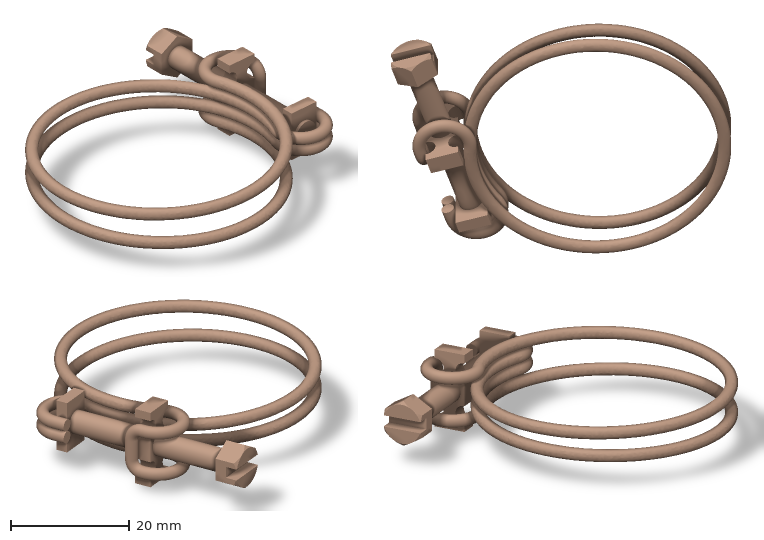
import cadquery as cq
import math


WIRE_RADIUS = 1.1
RING_RADIUS = 21.55
HOOK_RADIUS = 4.35
SEAM_ANGLE = 70.0
INNER_GAP = 0.05
INNER_Z = WIRE_RADIUS + INNER_GAP / 2
OUTER_Z = 3.9
RIGHT_TAIL = 2.35
LEFT_TAIL = 0.6
BEND_RADIUS = 2.0
LEAD_IN_ANGLE = 1.6
FOOT_GAP_ANGLE = 0.01
RING_SWEEP = 360 + 180 - 2 * SEAM_ANGLE - LEAD_IN_ANGLE - FOOT_GAP_ANGLE

HOOK_CENTRE_X = (RING_RADIUS + HOOK_RADIUS) * math.cos(math.radians(SEAM_ANGLE))
HOOK_CENTRE_Y = (RING_RADIUS + HOOK_RADIUS) * math.sin(math.radians(SEAM_ANGLE))
HOOK_TOP_Y = HOOK_CENTRE_Y + HOOK_RADIUS

BAR_WIDTH = 5.7
HOOK_CLEARANCE = 0.05
BAR_FAR_X = 9.3
LEFT_BAR_THICKNESS = 3.05
LEFT_BAR_HEIGHT = 14.0
NOTCH_RADIUS = 1.55
NOTCH_DEPTH = 1.75
RIGHT_BAR_THICKNESS = 2.15
RIGHT_BAR_HEIGHT = 9.25

SCREW_Y = HOOK_TOP_Y - WIRE_RADIUS - HOOK_CLEARANCE - BAR_WIDTH / 2
SHANK_RADIUS = 2.1
SCREW_END_X = 9.9
HEAD_FACE_X = -26.75
HEAD_LENGTH = 4.15
HEAD_FLATS = 7.05
SLOT_WIDTH = 2.05
SLOT_DEPTH = 2.1
HEAD_CORNER_RADIUS = HEAD_FLATS / 2 / math.cos(math.radians(30))


def ring_point(angle, z):
    """Point on the ring centre line at an angle in degrees from +X."""
    a = math.radians(angle)
    return cq.Vector(RING_RADIUS * math.cos(a), RING_RADIUS * math.sin(a), z)


def ring_direction(angle):
    """Level anticlockwise direction of the ring at an angle in degrees from +X."""
    a = math.radians(angle)
    return cq.Vector(-math.sin(a), math.cos(a), 0)


def hook_arc(side, z):
    """Hook centre line from its straight end to the ring; side is 1 right, -1 left."""
    return cq.Edge.makeThreePointArc(
        cq.Vector(side * HOOK_CENTRE_X, HOOK_TOP_Y, z),
        cq.Vector(side * (HOOK_CENTRE_X + HOOK_RADIUS), HOOK_CENTRE_Y, z),
        ring_point(SEAM_ANGLE if side > 0 else 180 - SEAM_ANGLE, z),
    )


def sweep_wire(edges, start, direction):
    """Round wire along joined centre line edges."""
    path = cq.Wire.assembleEdges(edges)
    section = cq.Workplane(cq.Plane(origin=start.toTuple(), normal=direction)).circle(WIRE_RADIUS)
    return section.sweep(cq.Workplane(path), transition="transformed")


def ring_wire():
    """Right hook and the ring that rises from it, more than one turn, to the left hook."""
    hook_start = cq.Vector(HOOK_CENTRE_X, HOOK_TOP_Y, INNER_Z)
    tail_end = hook_start - cq.Vector(RIGHT_TAIL, 0, 0)
    tail = cq.Edge.makeLine(tail_end, hook_start)

    rise = OUTER_Z - INNER_Z
    ring = (
        cq.Wire.makeHelix(rise * 360 / RING_SWEEP, rise, RING_RADIUS)
        .rotate(cq.Vector(0, 0, 0), cq.Vector(0, 0, 1), SEAM_ANGLE)
        .translate(cq.Vector(0, 0, INNER_Z))
    )
    return sweep_wire([tail, hook_arc(1, INNER_Z), *ring.Edges()], tail_end, (1, 0, 0))


def bridge_wire():
    """Both left hooks, joined by bends and a straight bridge across the screw."""
    bend_x = LEFT_TAIL - HOOK_CENTRE_X
    bridge_x = bend_x + BEND_RADIUS
    bridge_half = OUTER_Z - BEND_RADIUS
    bend_offset = BEND_RADIUS * math.sin(math.radians(45))
    foot_angle = 180 - SEAM_ANGLE
    start_angle = foot_angle - LEAD_IN_ANGLE

    def half_path(side):
        z = side * OUTER_Z
        lead_in = cq.Edge.makeThreePointArc(
            ring_point(start_angle, z),
            ring_point(foot_angle - LEAD_IN_ANGLE / 2, z),
            ring_point(foot_angle, z),
        )
        tail = cq.Edge.makeLine(
            cq.Vector(-HOOK_CENTRE_X, HOOK_TOP_Y, z),
            cq.Vector(bend_x, HOOK_TOP_Y, z),
        )
        bend = cq.Edge.makeThreePointArc(
            cq.Vector(bend_x, HOOK_TOP_Y, z),
            cq.Vector(bend_x + bend_offset, HOOK_TOP_Y, side * (bridge_half + bend_offset)),
            cq.Vector(bridge_x, HOOK_TOP_Y, side * bridge_half),
        )
        return [lead_in, hook_arc(-1, z), tail, bend]

    bridge = cq.Edge.makeLine(
        cq.Vector(bridge_x, HOOK_TOP_Y, bridge_half),
        cq.Vector(bridge_x, HOOK_TOP_Y, -bridge_half),
    )
    edges = half_path(1) + [bridge] + half_path(-1)[::-1]
    return sweep_wire(edges, ring_point(start_angle, OUTER_Z), ring_direction(start_angle))


def shank(start_x, end_x):
    """Screw shank cylinder between two places along X."""
    return (
        cq.Workplane("YZ", origin=(start_x, SCREW_Y, 0))
        .circle(SHANK_RADIUS)
        .extrude(end_x - start_x)
    )


def bar(start_x, thickness, height):
    """Plain bar with a hole for the screw."""
    block = (
        cq.Workplane("YZ", origin=(start_x, SCREW_Y, 0))
        .rect(BAR_WIDTH, height)
        .extrude(thickness)
    )
    return block.cut(shank(start_x, start_x + thickness))


def left_bar():
    """Tall bar with a round notch at each of the four places where a hook passes."""
    body = bar(-BAR_FAR_X, LEFT_BAR_THICKNESS, LEFT_BAR_HEIGHT)
    notch_length = 2 * NOTCH_DEPTH
    notches = (
        cq.Workplane("YZ", origin=(-BAR_FAR_X, SCREW_Y, 0))
        .rect(BAR_WIDTH, 2 * OUTER_Z, forConstruction=True)
        .vertices()
        .slot2D(notch_length, 2 * NOTCH_RADIUS)
        .extrude(LEFT_BAR_THICKNESS)
    )
    return body.cut(notches)


def right_bar():
    """Short plain bar at the end of the screw."""
    return bar(BAR_FAR_X - RIGHT_BAR_THICKNESS, RIGHT_BAR_THICKNESS, RIGHT_BAR_HEIGHT)


def screw():
    """Slotted hexagon-head screw."""
    hexagon = (
        cq.Workplane("YZ", origin=(HEAD_FACE_X, SCREW_Y, 0))
        .transformed(rotate=(0, 0, 90))
        .polygon(6, 2 * HEAD_CORNER_RADIUS)
        .extrude(HEAD_LENGTH)
    )
    face_radius = HEAD_FLATS / 2
    trim = cq.Workplane(
        cq.Solid.makeCone(
            face_radius,
            face_radius + HEAD_LENGTH,
            HEAD_LENGTH,
            pnt=cq.Vector(HEAD_FACE_X, SCREW_Y, 0),
            dir=cq.Vector(1, 0, 0),
        )
    )
    slot = cq.Workplane("XY").box(2 * SLOT_DEPTH, 2 * HEAD_FLATS, SLOT_WIDTH)
    slot = slot.translate((HEAD_FACE_X, SCREW_Y, 0))
    head = hexagon.intersect(trim).cut(slot)
    return head.union(shank(HEAD_FACE_X + HEAD_LENGTH, SCREW_END_X))


upper_ring = ring_wire()
rings = [upper_ring, upper_ring.mirror("XY")]

result = cq.Compound.makeCompound(
    [
        screw().val(),
        left_bar().val(),
        right_bar().val(),
        bridge_wire().val(),
        *[ring.val() for ring in rings],
    ]
)